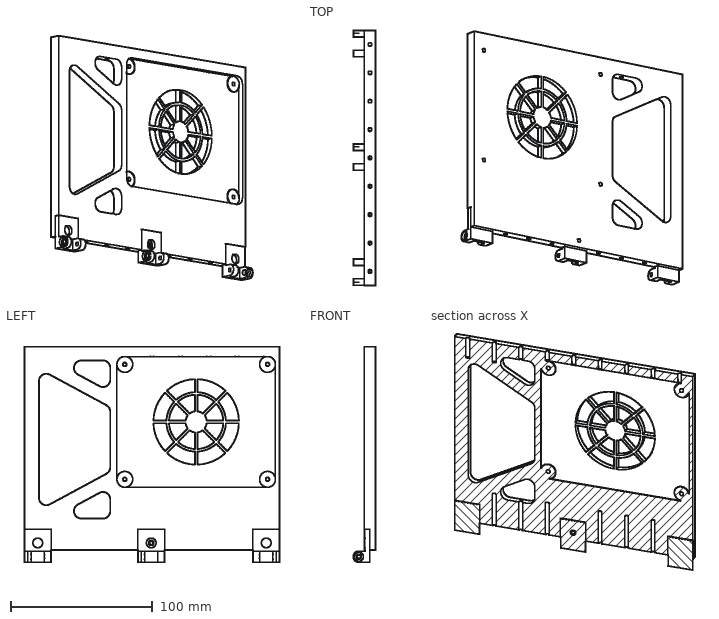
import cadquery as cq
import math

WIDTH = 180.0
TOTAL_DEPTH = 15.8
TOTAL_HEIGHT = 152.1

PANEL_THICKNESS = 8.1
PANEL_FRONT = TOTAL_DEPTH - PANEL_THICKNESS
PANEL_MIDDLE_X = PANEL_FRONT + PANEL_THICKNESS / 2
PANEL_BOTTOM = 8.6
SCREW_DIAMETER = 2.5
CLEARANCE_DIAMETER = 3.6

FAN_CENTER_Y = -31.1
FAN_CENTER_Z = 99.0
FAN_SCREW_SPACING_Y = 100.6
FAN_SCREW_SPACING_Z = 81.0
FAN_BOSS_RADIUS = 5.5
FAN_RECESS_DEPTH = 4.0
FAN_BOSS_HEIGHT = 0.7

GRILLE_RADIUS = 30.0
GRILLE_HUB_RADIUS = 7.5
GRILLE_RING_OUTER_RADIUS = 21.0
GRILLE_BAR = 2.0
GRILLE_RING_INNER_RADIUS = GRILLE_RING_OUTER_RADIUS - GRILLE_BAR
GRILLE_SPOKES = 8

WINDOW_CENTER_Z = 86.5
WINDOW_OUTER_Y = 79.5
WINDOW_INNER_Y = 29.5
WINDOW_FILLET = 5.0
MAIN_WINDOW_OUTER_HALF = 49.7
MAIN_WINDOW_INNER_HALF = 22.7
WINDOW_SLOPE = (MAIN_WINDOW_OUTER_HALF - MAIN_WINDOW_INNER_HALF) / (WINDOW_OUTER_Y - WINDOW_INNER_Y)
SIDE_WINDOW_OUTER_Y = 54.9
SIDE_WINDOW_TOP = 55.6
SIDE_WINDOW_INNER_HALF = 33.7
SIDE_WINDOW_OUTER_HALF = SIDE_WINDOW_INNER_HALF + WINDOW_SLOPE * (SIDE_WINDOW_OUTER_Y - WINDOW_INNER_Y)

EDGE_HOLE_COUNT = 9
EDGE_HOLE_PITCH = WIDTH / EDGE_HOLE_COUNT
TOP_HOLE_DEPTH = 15.0
BOTTOM_HOLE_DEPTH = 25.0
DRILL_POINT_ANGLE = 118

HINGE_GAP = 0.09
HINGE_SEAT_WIDTH = 18.9
HINGE_WIDTH = HINGE_SEAT_WIDTH - 2 * HINGE_GAP
HINGE_SEAT_DEPTH = 4.0
HINGE_SEAT_TOP = 23.4
LEAF_INSET = 0.4
LEAF_BACK = PANEL_FRONT + HINGE_SEAT_DEPTH
LEAF_FRONT = PANEL_FRONT + LEAF_INSET
LEAF_TOP = HINGE_SEAT_TOP - HINGE_GAP
BARREL_RADIUS = 4.0
BARREL_GAP_WIDTH = 9.2
BARREL_GAP_DEPTH = 8.5
BARREL_COUNTERBORE_DIAMETER = 6.5
BARREL_COUNTERBORE_DEPTH = 2.2
LEAF_COUNTERBORE_DIAMETER = 6.8
LEAF_COUNTERBORE_DEPTH = 2.5
LEAF_SCREW_Z = 13.7
HINGE_END_Y = (WIDTH - HINGE_SEAT_WIDTH) / 2
MIDDLE_HINGE_Y = 0.5
HINGE_POSITIONS = [-HINGE_END_Y, MIDDLE_HINGE_Y, HINGE_END_Y]


def box(x0, x1, y0, y1, z0, z1):
    """Block between two opposite corners."""
    return cq.Workplane("XY").box(x1 - x0, y1 - y0, z1 - z0, centered=False).translate((x0, y0, z0))


def rod_x(radius, y, z, x0, x1):
    """Cylinder along X from x0 to x1."""
    return cq.Workplane("YZ", origin=(x0, y, z)).circle(radius).extrude(x1 - x0)


def rod_y(radius, x, z, y0, y1):
    """Cylinder along Y from y0 to y1."""
    return cq.Workplane("XZ", origin=(x, y0, z)).circle(radius).extrude(y0 - y1)


def rod_z(radius, x, y, z0, z1):
    """Cylinder along Z from z0 to z1."""
    return cq.Workplane("XY", origin=(x, y, z0)).circle(radius).extrude(z1 - z0)


def window(corners):
    """Rounded opening through the panel; corners are (Y, height above the windows' centre line)."""
    outline = cq.Workplane("YZ", origin=(PANEL_FRONT, 0, WINDOW_CENTER_Z)).polyline(corners).close()
    return outline.extrude(PANEL_THICKNESS).edges("|X").fillet(WINDOW_FILLET)


def windows():
    """The large trapezium and the small window above and below it."""
    cutters = [window([
        (WINDOW_OUTER_Y, MAIN_WINDOW_OUTER_HALF),
        (WINDOW_INNER_Y, MAIN_WINDOW_INNER_HALF),
        (WINDOW_INNER_Y, -MAIN_WINDOW_INNER_HALF),
        (WINDOW_OUTER_Y, -MAIN_WINDOW_OUTER_HALF),
    ])]
    for side in (1, -1):
        cutters.append(window([
            (WINDOW_INNER_Y, side * SIDE_WINDOW_TOP),
            (WINDOW_INNER_Y, side * SIDE_WINDOW_INNER_HALF),
            (SIDE_WINDOW_OUTER_Y, side * SIDE_WINDOW_OUTER_HALF),
            (SIDE_WINDOW_OUTER_Y, side * SIDE_WINDOW_TOP),
        ]))
    return cutters


def fan_screw_points():
    """(Y, Z) of the four fan screws."""
    return [
        (FAN_CENTER_Y + i * FAN_SCREW_SPACING_Y / 2, FAN_CENTER_Z + j * FAN_SCREW_SPACING_Z / 2)
        for i in (-1, 1) for j in (-1, 1)
    ]


def fan_recess():
    """Pocket volume, less the four corner bosses that stand on its floor."""
    floor = PANEL_FRONT + FAN_RECESS_DEPTH
    recess = (
        cq.Workplane("YZ", origin=(PANEL_FRONT, FAN_CENTER_Y, FAN_CENTER_Z))
        .rect(FAN_SCREW_SPACING_Y + 2 * FAN_BOSS_RADIUS, FAN_SCREW_SPACING_Z + 2 * FAN_BOSS_RADIUS)
        .extrude(FAN_RECESS_DEPTH)
        .edges("|X")
        .fillet(FAN_BOSS_RADIUS)
    )
    for y, z in fan_screw_points():
        recess = recess.cut(rod_x(FAN_BOSS_RADIUS, y, z, floor - FAN_BOSS_HEIGHT, floor))
    return recess


def fan_grille_openings():
    """Two rings of openings, divided by the spokes."""
    plane = cq.Workplane("YZ", origin=(PANEL_FRONT, FAN_CENTER_Y, FAN_CENTER_Z))
    openings = plane.circle(GRILLE_RADIUS).circle(GRILLE_RING_OUTER_RADIUS).extrude(PANEL_THICKNESS)
    openings = openings.union(
        plane.circle(GRILLE_RING_INNER_RADIUS).circle(GRILLE_HUB_RADIUS).extrude(PANEL_THICKNESS))
    for i in range(GRILLE_SPOKES // 2):
        bar = plane.transformed(rotate=(0, 0, i * 360 / GRILLE_SPOKES))
        openings = openings.cut(bar.rect(2 * GRILLE_RADIUS + GRILLE_BAR, GRILLE_BAR).extrude(PANEL_THICKNESS))
    return openings


def drilled_hole(y, mouth_z, direction, depth):
    """Blind hole with a conical drill point, running up (+1) or down (-1) from the panel's edge."""
    radius = SCREW_DIAMETER / 2
    point_length = radius / math.tan(math.radians(DRILL_POINT_ANGLE / 2))
    profile = [(0, 0), (radius, 0), (radius, direction * depth), (0, direction * (depth + point_length))]
    hole = cq.Workplane("XZ").polyline(profile).close().revolve(360, (0, 0), (0, 1))
    return hole.translate((PANEL_MIDDLE_X, y, mouth_z))


def edge_holes():
    """Top row along the whole width; bottom row only between the hinges."""
    recess_half_width = FAN_SCREW_SPACING_Y / 2 + FAN_BOSS_RADIUS
    recess_top = FAN_CENTER_Z + FAN_SCREW_SPACING_Z / 2 + FAN_BOSS_RADIUS
    holes = []
    for i in range(EDGE_HOLE_COUNT):
        y = (i - (EDGE_HOLE_COUNT - 1) / 2) * EDGE_HOLE_PITCH
        if abs(y - FAN_CENTER_Y) < recess_half_width:
            holes.append(rod_z(SCREW_DIAMETER / 2, PANEL_MIDDLE_X, y, recess_top, TOTAL_HEIGHT))
        else:
            holes.append(drilled_hole(y, TOTAL_HEIGHT, -1, TOP_HOLE_DEPTH))
        if all(abs(y - hinge_y) > HINGE_SEAT_WIDTH / 2 for hinge_y in HINGE_POSITIONS):
            holes.append(drilled_hole(y, PANEL_BOTTOM, 1, BOTTOM_HOLE_DEPTH))
    return holes


def make_panel():
    panel = box(PANEL_FRONT, TOTAL_DEPTH, -WIDTH / 2, WIDTH / 2, PANEL_BOTTOM, TOTAL_HEIGHT)
    for opening in windows():
        panel = panel.cut(opening)
    panel = panel.cut(fan_recess()).cut(fan_grille_openings())
    for y, z in fan_screw_points():
        panel = panel.cut(rod_x(SCREW_DIAMETER / 2, y, z, PANEL_FRONT, TOTAL_DEPTH))

    for y in HINGE_POSITIONS:
        half = HINGE_SEAT_WIDTH / 2
        panel = panel.cut(box(PANEL_FRONT, LEAF_BACK, y - half, y + half, PANEL_BOTTOM, HINGE_SEAT_TOP))
    panel = panel.cut(rod_x(SCREW_DIAMETER / 2, MIDDLE_HINGE_Y, LEAF_SCREW_Z, LEAF_BACK, TOTAL_DEPTH))

    for hole in edge_holes():
        panel = panel.cut(hole)
    return panel


def make_hinge(y, head_side, has_leaf_screw):
    """Leaf with two barrels; the barrel on head_side (+1 or -1 along Y) takes the pin screw's head."""
    half = HINGE_WIDTH / 2
    gap_half = BARREL_GAP_WIDTH / 2
    axis = BARREL_RADIUS
    hinge = box(LEAF_FRONT, LEAF_BACK, -half, half, 0, LEAF_TOP)
    hinge = hinge.union(box(axis, LEAF_BACK, -half, half, 0, 2 * BARREL_RADIUS))
    hinge = hinge.union(rod_y(BARREL_RADIUS, axis, axis, -half, half))
    hinge = hinge.cut(box(0, BARREL_GAP_DEPTH, -gap_half, gap_half, 0, 2 * BARREL_RADIUS))

    head_end = head_side * half
    head_floor = head_side * (half - BARREL_COUNTERBORE_DEPTH)
    hinge = hinge.cut(rod_y(SCREW_DIAMETER / 2, axis, axis, -half, half))
    hinge = hinge.cut(rod_y(CLEARANCE_DIAMETER / 2, axis, axis, 0, head_end))
    hinge = hinge.cut(rod_y(BARREL_COUNTERBORE_DIAMETER / 2, axis, axis, head_floor, head_end))

    leaf_floor = LEAF_FRONT + LEAF_COUNTERBORE_DEPTH
    hinge = hinge.cut(rod_x(LEAF_COUNTERBORE_DIAMETER / 2, 0, LEAF_SCREW_Z, LEAF_FRONT, leaf_floor))
    if has_leaf_screw:
        hinge = hinge.cut(rod_x(CLEARANCE_DIAMETER / 2, 0, LEAF_SCREW_Z, leaf_floor, LEAF_BACK))
    return hinge.translate((0, y, 0))


panel = make_panel()
hinges = [make_hinge(y, -1 if y < 0 else 1, y == MIDDLE_HINGE_Y) for y in HINGE_POSITIONS]
result = cq.Compound.makeCompound([panel.val(), *[hinge.val() for hinge in hinges]])